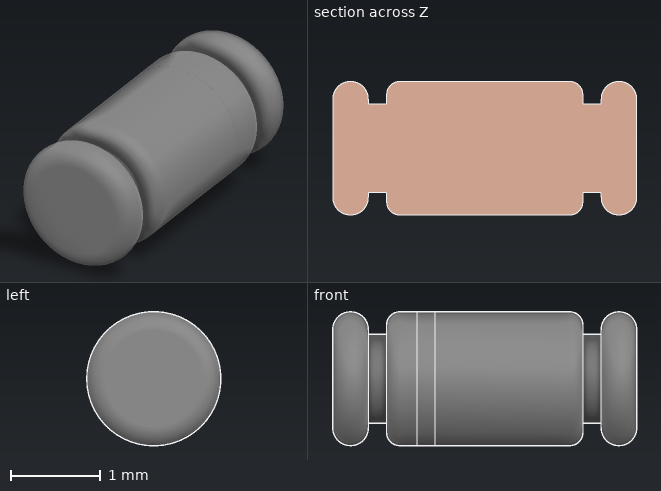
import cadquery as cq

length = 3.4
outer_diameter = 1.5
neck_diameter = 0.995
cap_width = 0.4
neck_width = 0.2
body_edge_radius = 0.15
band_diameter = 1.503
band_width = 0.2
band_offset = 0.345

outer_radius = outer_diameter / 2
cap_rim_radius = cap_width / 2
cap_flat_radius = outer_radius - cap_rim_radius
end_x = length / 2
cap_inner_x = end_x - cap_width
body_end_x = cap_inner_x - neck_width


def cylinder(start_x, width, diameter):
    """Solid cylinder along X, beginning at start_x."""
    return cq.Workplane("YZ", origin=(start_x, 0, 0)).circle(diameter / 2).extrude(width)


def end_cap(start_x):
    """Disc with a fully rounded rim."""
    stop_x = start_x + cap_width
    return (
        cq.Workplane("XY")
        .moveTo(start_x, 0)
        .lineTo(start_x, cap_flat_radius)
        .threePointArc((start_x + cap_rim_radius, outer_radius), (stop_x, cap_flat_radius))
        .lineTo(stop_x, 0)
        .close()
        .revolve(360, (0, 0, 0), (1, 0, 0))
    )


body = cylinder(-body_end_x, 2 * body_end_x, outer_diameter).edges("%CIRCLE").fillet(body_edge_radius)

band = cylinder(-body_end_x + band_offset, band_width, band_diameter)

core = cylinder(-cap_inner_x, 2 * cap_inner_x, neck_diameter)
result = body.union(band).union(core)
for cap_start_x in (-end_x, cap_inner_x):
    result = result.union(end_cap(cap_start_x))